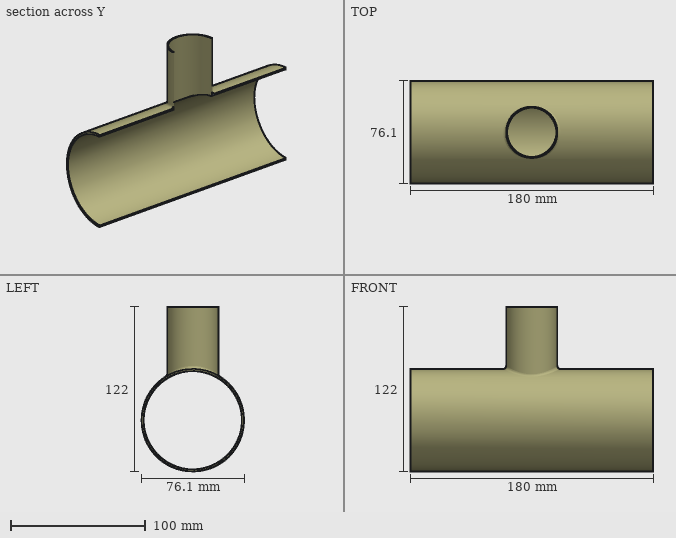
import cadquery as cq

run_length = 180.0
run_outer_diameter = 76.1
run_inner_diameter = 72.7

branch_outer_diameter = 38.2
branch_inner_diameter = 36.4
overall_height = 122.0
branch_top = overall_height - run_outer_diameter / 2

joint_fillet = 2.2


def run_cylinder(diameter):
    """Solid cylinder over the full length of the main pipe."""
    return cq.Workplane("YZ").circle(diameter / 2).extrude(run_length / 2, both=True)


def branch_cylinder(diameter):
    """Solid cylinder from the main pipe axis to the branch mouth."""
    return cq.Workplane("XY").circle(diameter / 2).extrude(branch_top)


def joint_edges():
    """Selector box around the saddle curve, clear of the pipe ends and branch mouth."""
    half_width = branch_outer_diameter
    return cq.selectors.BoxSelector(
        (-half_width, -half_width, 0),
        (half_width, half_width, run_outer_diameter / 2 + joint_fillet),
        boundingbox=True,
    )


outer_tee = run_cylinder(run_outer_diameter).union(branch_cylinder(branch_outer_diameter))
outer_tee = outer_tee.edges(joint_edges()).fillet(joint_fillet)

result = outer_tee.cut(run_cylinder(run_inner_diameter)).cut(branch_cylinder(branch_inner_diameter))